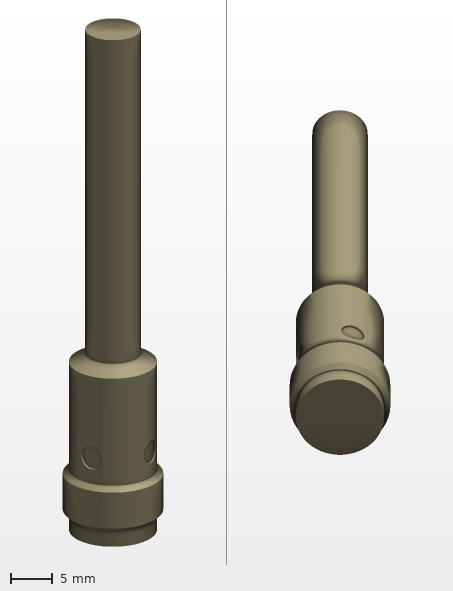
import cadquery as cq

TOTAL_HEIGHT = 65.0
COLLAR_BASE = 2.1
COLLAR_TOP = 7.9
COLLAR_BEVEL = 0.6
SHOULDER_BASE = 21.85
SHOULDER_HEIGHT = 1.1

COLLAR_RADIUS = 12.0 / 2
BARREL_RADIUS = 5.25
BARREL_WALL = 0.25
STEM_RADIUS = 3.3
STEM_RIM = 0.3

DISC_THICKNESS = 1.3

WINDOW_DIAMETER = 2.9
WINDOW_HEIGHT = 11.25
WINDOW_COUNT = 4

CORE_RADIUS = BARREL_RADIUS - BARREL_WALL
DISC_RADIUS = STEM_RADIUS - STEM_RIM
DISC_BASE = TOTAL_HEIGHT - DISC_THICKNESS
SHOULDER_TOP = SHOULDER_BASE + SHOULDER_HEIGHT


def cylinder(radius, bottom, top):
    """Upright cylinder on the Z axis between two heights."""
    return cq.Workplane("XY").workplane(offset=bottom).circle(radius).extrude(top - bottom)


def make_window(angle):
    """Radial cutter for one window, turned about Z from the -Y side."""
    return (
        cq.Workplane("XZ", origin=(0, 0, WINDOW_HEIGHT))
        .circle(WINDOW_DIAMETER / 2)
        .extrude(COLLAR_RADIUS)
        .rotate((0, 0, 0), (0, 0, 1), angle)
    )


def make_housing():
    """Stem, conical shoulder, barrel and bevelled collar, bored for the plug and disc."""
    outline = [
        (0, COLLAR_BASE),
        (COLLAR_RADIUS - COLLAR_BEVEL, COLLAR_BASE),
        (COLLAR_RADIUS, COLLAR_BASE + COLLAR_BEVEL),
        (COLLAR_RADIUS, COLLAR_TOP - COLLAR_BEVEL),
        (BARREL_RADIUS, COLLAR_TOP),
        (BARREL_RADIUS, SHOULDER_BASE),
        (STEM_RADIUS, SHOULDER_TOP),
        (STEM_RADIUS, TOTAL_HEIGHT),
        (0, TOTAL_HEIGHT),
    ]
    housing = cq.Workplane("XZ").polyline(outline).close().revolve(360, (0, 0), (0, 1))
    housing = housing.cut(cylinder(CORE_RADIUS, COLLAR_BASE, SHOULDER_BASE))
    housing = housing.cut(cylinder(DISC_RADIUS, DISC_BASE, TOTAL_HEIGHT))
    for index in range(WINDOW_COUNT):
        housing = housing.cut(make_window(index * 360 / WINDOW_COUNT))
    return housing


def make_plug():
    """Solid core filling the barrel, with a wider foot below the collar."""
    foot = cylinder(BARREL_RADIUS, 0, COLLAR_BASE)
    core = cylinder(CORE_RADIUS, COLLAR_BASE, SHOULDER_BASE)
    return foot.union(core)


def make_disc():
    """Disc filling the recess in the free end of the stem."""
    return cylinder(DISC_RADIUS, DISC_BASE, TOTAL_HEIGHT)


housing = make_housing()
plug = make_plug()
disc = make_disc()

result = cq.Compound.makeCompound([housing.val(), plug.val(), disc.val()])